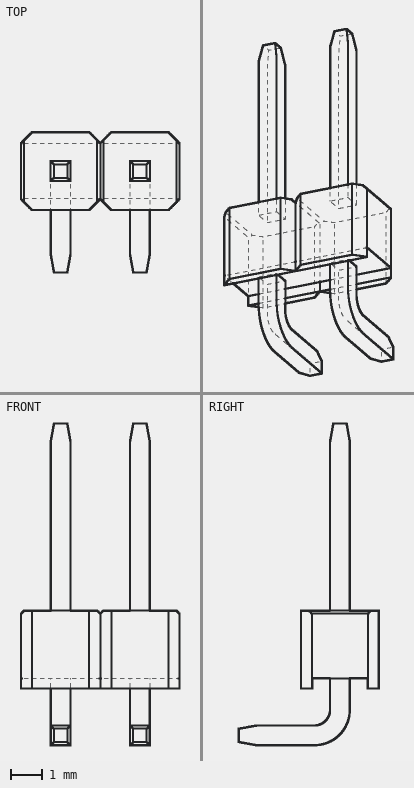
import cadquery as cq


pin_count = 2
pitch = 2.54

housing_depth = 2.5
housing_height = 2.5
corner_cut_x = 0.355
corner_cut_y = 0.355
top_chamfer = 0.1
channel_width = 1.76
channel_height = 0.33

pin_size = 0.64
pin_rise = 6.0
tail_drop = 1.5
tail_reach = 3.25
bend_inner_radius = 0.5
tip_length = 0.58
tip_end_size = 0.43

half_pin = pin_size / 2
bend_radius = bend_inner_radius + half_pin
upright_top = housing_height + pin_rise - tip_length
tail_end = tail_reach - tip_length


def make_housing_cell():
    """One octagonal housing cell with chamfered top side edges and a channel underneath."""
    cell = cq.Workplane("XY").box(pitch, housing_depth, housing_height, centered=(True, True, False))
    cell = cell.faces("<X or >X").edges(">Z").chamfer(top_chamfer)
    half_x = pitch / 2
    half_y = housing_depth / 2
    inner_x = half_x - corner_cut_x
    inner_y = half_y - corner_cut_y
    octagon = (
        cq.Workplane("XY")
        .polyline([
            (-inner_x, -half_y),
            (inner_x, -half_y),
            (half_x, -inner_y),
            (half_x, inner_y),
            (inner_x, half_y),
            (-inner_x, half_y),
            (-half_x, inner_y),
            (-half_x, -inner_y),
        ])
        .close()
        .extrude(housing_height)
    )
    channel = cq.Workplane("XY").box(pitch, channel_width, channel_height, centered=(True, True, False))
    return cell.intersect(octagon).cut(channel)


def make_tip(base_plane):
    """Square tip tapering along the normal of the given plane."""
    return (
        cq.Workplane(base_plane)
        .rect(pin_size, pin_size)
        .workplane(offset=tip_length)
        .rect(tip_end_size, tip_end_size)
        .loft(combine=True)
    )


def make_pin():
    """Square pin rising along Z, with a bent tail that points toward -Y."""
    path = (
        cq.Workplane("YZ")
        .moveTo(0, upright_top)
        .lineTo(0, bend_radius - tail_drop)
        .radiusArc((-bend_radius, -tail_drop), bend_radius)
        .lineTo(-tail_end, -tail_drop)
    )
    shaft = cq.Workplane("XY", origin=(0, 0, upright_top)).rect(pin_size, pin_size).sweep(path)
    upper_tip = make_tip(cq.Plane(origin=(0, 0, upright_top), xDir=(1, 0, 0), normal=(0, 0, 1)))
    tail_tip = make_tip(cq.Plane(origin=(0, -tail_end, -tail_drop), xDir=(1, 0, 0), normal=(0, -1, 0)))
    return shaft.union(upper_tip).union(tail_tip)


def make_header():
    """Row of housing cells along X, each holding one pin."""
    position = make_housing_cell().union(make_pin())
    header = cq.Workplane("XY")
    for index in range(pin_count):
        offset = (index - (pin_count - 1) / 2) * pitch
        header = header.union(position.translate((offset, 0, 0)))
    return header


result = make_header()